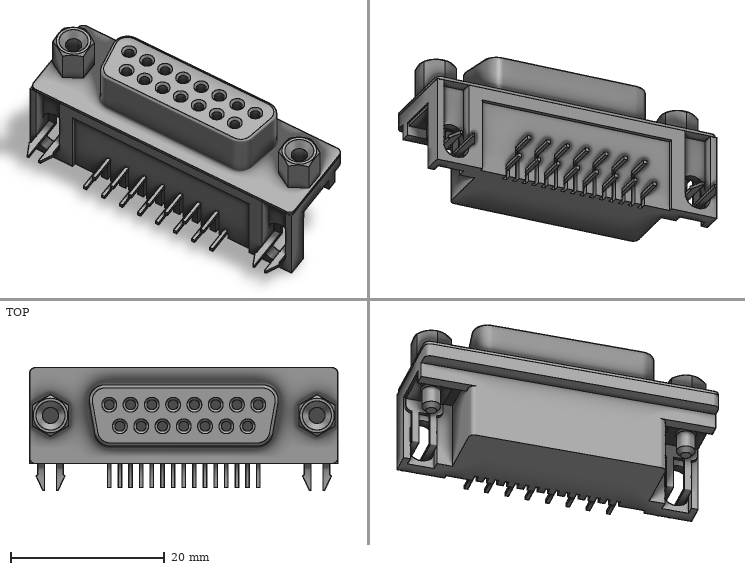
import cadquery as cq
import math


length = 40.25
flange_depth = 12.55
collar_top = 18.3
plate_top = 12.25
plate_thickness = 0.4
corner_radius = 0.8
front = -flange_depth / 2
back = flange_depth / 2
housing_top = plate_top - plate_thickness

collar_depth = 7.95
collar_half_length = 12.7
collar_side_angle = 10.0
collar_corner_radius = 2.0
collar_wall = 0.4
collar_flare = 0.3

flange_bottom = 9.95
block_back = 4.4
block_half_length = 13.45
bay_front = -3.4
bay_back = 2.9
bay_top = 9.58
hook_bottom = 7.75
panel_half_length = 13.6
panel_top = 10.05
panel_depth = 0.55

fixing_offset = 17.4
fixing_slot_width = 3.62
fixing_slot_bottom = 0.9
fixing_slot_depth = 1.7
window_top = 6.4

contact_pitch = 2.78
row_offset = 1.4
back_row_count = 8
front_row_count = 7
socket_diameter = 1.3
socket_mouth_diameter = 1.95
socket_depth = 4.85
tail_size = 0.5
tail_tip = -9.4
back_row_tail_top = 1.6
front_row_tail_top = 4.5
tail_slot_depth = 0.95

hex_flats = 4.7
hex_turn = 30.0
hex_top = 17.0
hex_top_radius = 2.25
hex_chamfer_slope = 0.8
thread_diameter = 2.1
thread_mouth_diameter = 3.8
thread_bottom = 12.9
screw_diameter = 2.45
screw_cone_top = 6.45
screw_tip = 5.8
screw_tip_diameter = 1.4
screw_collar_diameter = 2.85
screw_collar_drop = 0.32

bracket_thickness = 0.45
bracket_half_width = 2.55
shoulder_bottom = 7.3
prong_inner = 0.75
prong_outer = 1.7
barb_outer = 1.9
prong_tip_outer = 1.0
lock_bottom = 2.5
lock_tip = -9.8
barb_start = -7.73
barb_peak = -7.9
bend_radius = 0.2

select_margin = 0.32


def box(x_range, y_range, z_range):
    """Block between the given limits on each axis."""
    return (
        cq.Workplane("XY")
        .box(
            x_range[1] - x_range[0],
            y_range[1] - y_range[0],
            z_range[1] - z_range[0],
            centered=False,
        )
        .translate((x_range[0], y_range[0], z_range[0]))
    )


def revolved(profile):
    """Solid turned about the Z axis from (radius, height) points."""
    return cq.Workplane("XZ").polyline(profile).close().revolve(360, (0, 0, 0), (0, 1, 0))


def d_prism(inset, bottom, top):
    """Prism with the collar's D outline, moved inwards by inset."""
    half_depth = collar_depth / 2 - inset
    slope = math.tan(math.radians(collar_side_angle))
    side_inset = inset / math.cos(math.radians(collar_side_angle))

    def half_length(y):
        return collar_half_length - side_inset - (collar_depth / 2 - y) * slope

    back_half = half_length(half_depth)
    front_half = half_length(-half_depth)
    return (
        cq.Workplane("XY", origin=(0, 0, bottom))
        .polyline([
            (-back_half, half_depth),
            (back_half, half_depth),
            (front_half, -half_depth),
            (-front_half, -half_depth),
        ])
        .close()
        .extrude(top - bottom)
        .edges("|Z")
        .fillet(collar_corner_radius - inset)
    )


def contact_row(count):
    """X positions of a row of contacts."""
    return [(i - (count - 1) / 2) * contact_pitch for i in range(count)]


contacts = [(x, row_offset, back_row_tail_top) for x in contact_row(back_row_count)]
contacts += [(x, -row_offset, front_row_tail_top) for x in contact_row(front_row_count)]
end_positions = (-fixing_offset, fixing_offset)


def shell_sheet():
    """Flange plate with the hollow collar standing on it."""
    plate = (
        box((-length / 2, length / 2), (front, back), (housing_top, plate_top))
        .edges("|Z")
        .fillet(corner_radius)
    )
    collar = d_prism(0, plate_top, collar_top).faces(">Z").edges().fillet(collar_wall)
    around_base = cq.selectors.BoxSelector(
        (-collar_half_length - select_margin, -collar_depth / 2 - select_margin, plate_top - select_margin),
        (collar_half_length + select_margin, collar_depth / 2 + select_margin, plate_top + select_margin),
    )
    sheet = plate.union(collar).edges(around_base).fillet(collar_flare)
    return sheet.cut(d_prism(collar_wall, housing_top, collar_top))


def jackscrew():
    """Hexagonal standoff with a threaded hole, and the screw below it."""
    hex_corner_radius = hex_flats / math.sqrt(3)
    standoff = (
        cq.Workplane("XY", origin=(0, 0, plate_top))
        .polygon(6, 2 * hex_corner_radius)
        .extrude(hex_top - plate_top)
        .rotate((0, 0, 0), (0, 0, 1), hex_turn)
    )
    chamfer_drop = (hex_corner_radius - hex_top_radius) * hex_chamfer_slope
    envelope = revolved([
        (0, plate_top),
        (hex_corner_radius, plate_top),
        (hex_corner_radius, hex_top - chamfer_drop),
        (hex_top_radius, hex_top),
        (0, hex_top),
    ])
    mouth_depth = (thread_mouth_diameter - thread_diameter) / 2
    thread = revolved([
        (0, thread_bottom),
        (thread_diameter / 2, thread_bottom),
        (thread_diameter / 2, hex_top - mouth_depth),
        (thread_mouth_diameter / 2, hex_top),
        (0, hex_top),
    ])
    bracket_underside = bay_top - bracket_thickness
    screw = revolved([
        (0, plate_top),
        (screw_diameter / 2, plate_top),
        (screw_diameter / 2, bracket_underside),
        (screw_collar_diameter / 2, bracket_underside),
        (screw_diameter / 2, bracket_underside - screw_collar_drop),
        (screw_diameter / 2, screw_cone_top),
        (screw_tip_diameter / 2, screw_tip),
        (0, screw_tip),
    ])
    return standoff.intersect(envelope).cut(thread).union(screw)


def bracket():
    """L-shaped bracket whose forked leg bends forward into two barbed board locks."""
    leg_back = bay_front + bracket_thickness
    lock_top = lock_bottom + bracket_thickness
    foot = box(
        (-bracket_half_width, bracket_half_width),
        (bay_front, bay_back),
        (bay_top - bracket_thickness, bay_top),
    )
    shoulder = (
        box(
            (-bracket_half_width, bracket_half_width),
            (bay_front, leg_back),
            (shoulder_bottom, bay_top),
        )
        .edges("|Y and <Z")
        .fillet(bracket_half_width - prong_outer)
    )
    prong = box((prong_inner, prong_outer), (bay_front, leg_back), (lock_bottom, shoulder_bottom))
    prong = prong.edges("|X and >Y and <Z").fillet(bend_radius)
    lock = (
        cq.Workplane("XY", origin=(0, 0, lock_bottom))
        .polyline([
            (prong_inner, bay_front),
            (prong_outer, bay_front),
            (prong_outer, barb_start),
            (barb_outer, barb_peak),
            (prong_tip_outer, lock_tip),
            (prong_inner, lock_tip),
        ])
        .close()
        .extrude(lock_top - lock_bottom)
    )
    barbed_prong = prong.union(lock)
    return foot.union(shoulder).union(barbed_prong).union(barbed_prong.mirror("YZ"))


def metal_shell():
    body = shell_sheet()
    for x in end_positions:
        body = body.union(jackscrew().translate((x, 0, 0)))
        body = body.union(bracket().translate((x, 0, 0)))
    return body


def housing_block():
    """Middle block, end walls and overhanging back edge, with the bays cut behind the walls."""
    block = box((-length / 2, length / 2), (front, block_back), (0, housing_top))
    for side in (-1, 1):
        bay_ends = sorted((side * block_half_length, side * length / 2))
        block = block.cut(box(bay_ends, (bay_front, bay_back), (0, bay_top)))
        block = block.cut(box(bay_ends, (bay_back, block_back), (0, hook_bottom)))
    rounded_edges = cq.selectors.BoxSelector(
        (-block_half_length - select_margin, block_back - select_margin, 0),
        (block_half_length + select_margin, block_back + select_margin, hook_bottom),
    )
    block = block.edges("|Z").edges(rounded_edges).fillet(corner_radius)
    flange = (
        box((-length / 2, length / 2), (0, back), (flange_bottom, housing_top))
        .edges("|Z and >Y")
        .fillet(corner_radius)
    )
    return block.union(flange)


def fixing_cutout():
    """Front slot with a rounded bottom, the arched window behind it, and the screw hole."""
    radius = fixing_slot_width / 2
    slot_floor = front + fixing_slot_depth
    slot_arc_height = fixing_slot_bottom + radius
    window_arc_height = window_top - radius

    def round_end(height, y_back):
        return (
            cq.Workplane("XZ", origin=(0, y_back, 0))
            .center(0, height)
            .circle(radius)
            .extrude(y_back - front)
        )

    recess = box((-radius, radius), (front, slot_floor), (slot_arc_height, housing_top))
    recess = recess.union(round_end(slot_arc_height, slot_floor))
    window = box((-radius, radius), (slot_floor, bay_front), (0, window_arc_height))
    window = window.union(round_end(window_arc_height, bay_front))
    screw_hole = (
        cq.Workplane("XY", origin=(0, 0, bay_top))
        .circle(screw_diameter / 2)
        .extrude(housing_top - bay_top)
    )
    return recess.union(window).union(screw_hole)


def socket():
    """Round contact hole with a conical mouth."""
    mouth_depth = (socket_mouth_diameter - socket_diameter) / 2
    return revolved([
        (0, collar_top - socket_depth),
        (socket_diameter / 2, collar_top - socket_depth),
        (socket_diameter / 2, collar_top - mouth_depth),
        (socket_mouth_diameter / 2, collar_top),
        (0, collar_top),
    ])


def housing_with_contacts():
    body = housing_block().union(d_prism(collar_wall, housing_top, collar_top))
    for x in end_positions:
        body = body.cut(fixing_cutout().translate((x, 0, 0)))

    panel_floor = front + panel_depth
    panel = box((-panel_half_length, panel_half_length), (front, panel_floor), (0, panel_top))
    body = body.cut(panel)

    slot_floor = panel_floor + tail_slot_depth
    for x, y, tail_top in contacts:
        tail_sides = (x - tail_size / 2, x + tail_size / 2)
        body = body.cut(socket().translate((x, y, 0)))
        body = body.cut(box(tail_sides, (panel_floor, slot_floor), (0, tail_top)))
        tail = box(tail_sides, (tail_tip, slot_floor), (tail_top - tail_size, tail_top))
        body = body.union(tail)
    return body


shell = metal_shell()
housing = housing_with_contacts()
result = cq.Compound.makeCompound([shell.solids().val(), housing.solids().val()])